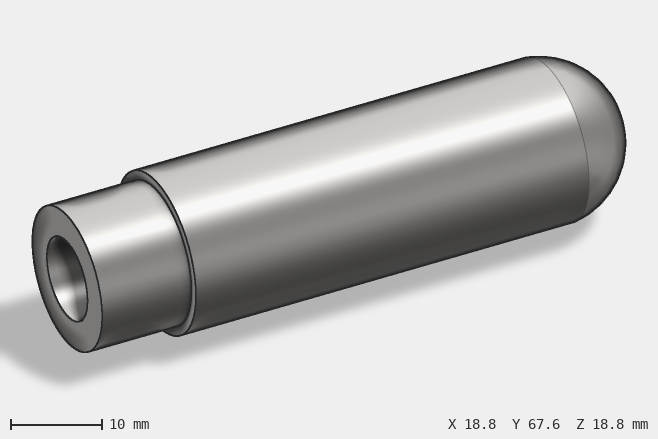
import cadquery as cq

total_length = 67.6
body_radius = 18.8 / 2

spigot_radius = 16.66 / 2
spigot_length = 11.0
bore_radius = 9.7 / 2
bore_depth = 30.0

dome_height = 8.2
dome_radius = (body_radius**2 + dome_height**2) / (2 * dome_height)

shoulder_y = spigot_length
dome_base_y = total_length - dome_height


def dome_midpoint():
    """Point on the cap's arc halfway out from the axis to the body radius."""
    x = body_radius / 2
    dome_centre_y = total_length - dome_radius
    return x, dome_centre_y + (dome_radius**2 - x**2) ** 0.5


def make_handle():
    """Spigot, cylindrical body and domed end, revolved about the Y axis."""
    return (
        cq.Workplane("XY")
        .lineTo(spigot_radius, 0)
        .lineTo(spigot_radius, shoulder_y)
        .lineTo(body_radius, shoulder_y)
        .lineTo(body_radius, dome_base_y)
        .threePointArc(dome_midpoint(), (0, total_length))
        .close()
        .revolve(360, (0, 0), (0, 1))
    )


def make_bore():
    """Flat-bottomed bore entering from the open spigot end."""
    return cq.Workplane("XZ").circle(bore_radius).extrude(-bore_depth)


result = make_handle().cut(make_bore())